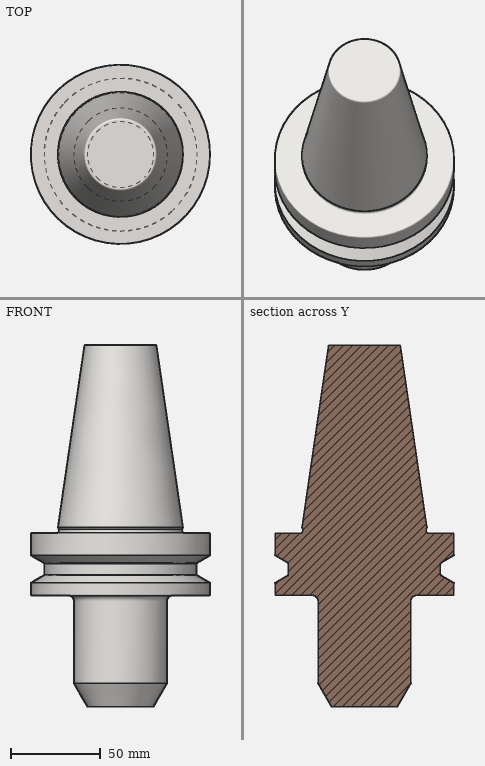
import cadquery as cq
import math


gauge_diameter = 69.85
taper_ratio = 7 / 24
taper_length = 101.8
taper_end_fillet = 1.0

neck_diameter = 69.0
neck_step_height = 1.0
neck_root_fillet = 1.0
flange_top_z = -3.0

flange_diameter = 100.0
flange_thickness = 35.0
flange_rim_fillet = 0.8
groove_root_diameter = 85.0
groove_root_width = 6.6
groove_center_z = -23.2
groove_root_fillet = 0.5
groove_flank_angle = 30.0

nose_diameter = 52.0
nose_end_z = -100.0
nose_root_fillet = 3.0
nose_cone_height = 13.2
nose_cone_half_angle = 30.0

gauge_radius = gauge_diameter / 2
taper_end_radius = (gauge_diameter - taper_ratio * taper_length) / 2
neck_radius = neck_diameter / 2
flange_radius = flange_diameter / 2
flange_bottom_z = flange_top_z - flange_thickness
groove_root_radius = groove_root_diameter / 2
nose_radius = nose_diameter / 2


def revolve_profile(points):
    """Turn a closed (radius, height) outline about the Z axis."""
    return cq.Workplane("XZ").polyline(points).close().revolve(360, (0, 0), (0, 1))


def make_shank():
    """Taper with a rounded small end, and the neck that seats it on the flange."""
    shank = revolve_profile([
        (0, flange_top_z),
        (neck_radius, flange_top_z),
        (neck_radius, -neck_step_height),
        (gauge_radius, 0),
        (taper_end_radius, taper_length),
        (0, taper_length),
    ])
    return shank.faces(">Z").edges().fillet(taper_end_fillet)


def make_nose():
    """Cylinder below the flange that ends in a cone."""
    cone_end_radius = nose_radius - nose_cone_height * math.tan(math.radians(nose_cone_half_angle))
    return revolve_profile([
        (0, flange_bottom_z),
        (nose_radius, flange_bottom_z),
        (nose_radius, nose_end_z + nose_cone_height),
        (cone_end_radius, nose_end_z),
        (0, nose_end_z),
    ])


def make_flange():
    """Disc with rounded rims."""
    disc = cq.Workplane("XY").workplane(offset=flange_bottom_z)
    disc = disc.circle(flange_radius).extrude(flange_thickness)
    return disc.faces("|Z").edges().fillet(flange_rim_fillet)


def make_groove():
    """Ring that cuts the V-shaped groove into the rim of the flange."""
    root_half_width = groove_root_width / 2
    groove_depth = flange_radius - groove_root_radius
    mouth_half_width = root_half_width + groove_depth * math.tan(math.radians(groove_flank_angle))
    ring = revolve_profile([
        (groove_root_radius, groove_center_z - root_half_width),
        (groove_root_radius, groove_center_z + root_half_width),
        (flange_radius, groove_center_z + mouth_half_width),
        (flange_radius, groove_center_z - mouth_half_width),
    ])
    root_edges = cq.selectors.RadiusNthSelector(0)
    return ring.edges("%CIRCLE").edges(root_edges).fillet(groove_root_fillet)


def fillet_inner_corner(body, corner_z, radius):
    """Fillet the smallest circular edge that lies in the plane Z = corner_z."""
    edge_margin = 0.1
    corner_plane = cq.selectors.BoxSelector(
        (-flange_radius, -flange_radius, corner_z - edge_margin),
        (flange_radius, flange_radius, corner_z + edge_margin),
    )
    smallest_circle = cq.selectors.RadiusNthSelector(0)
    return body.edges("%CIRCLE").edges(corner_plane).edges(smallest_circle).fillet(radius)


body = make_flange().cut(make_groove())
body = body.union(make_nose()).union(make_shank())
body = fillet_inner_corner(body, flange_bottom_z, nose_root_fillet)
result = fillet_inner_corner(body, flange_top_z, neck_root_fillet)